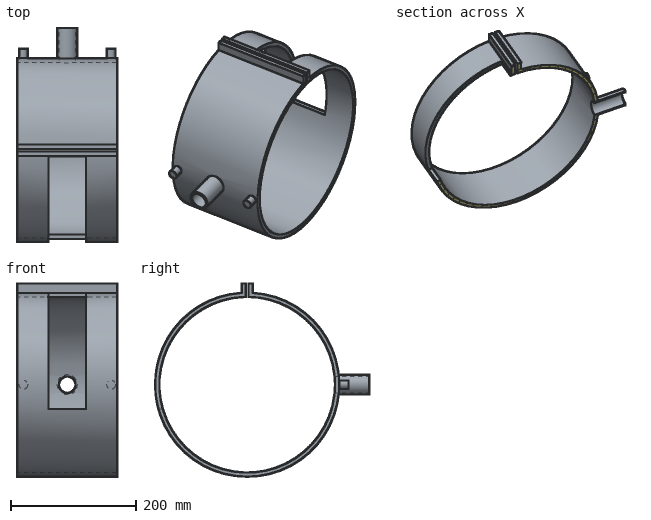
import cadquery as cq
import math

band_width = 160.0
inner_radius = 140.0
wall = 7.0
outer_radius = inner_radius + wall

split_gap = 4.0
flange_thickness = wall
flange_height = 15.0
flange_outer_y = split_gap / 2 + flange_thickness
flange_base_z = math.sqrt(outer_radius**2 - flange_outer_y**2)
flange_top_z = flange_base_z + flange_height

window_width = 60.0
window_bottom_z = -38.5
window_edge_y = -10.0

tube_outer_diameter = 32.0
tube_bore_diameter = 26.0
tube_length = 48.0
pin_diameter = 14.0
pin_length = 15.0
pin_spacing = 140.0


def cylinder_along_x(radius, length):
    return cq.Workplane("YZ", origin=(-length / 2, 0, 0)).circle(radius).extrude(length)


def cylinder_along_y(diameter, x, end_y):
    """Cylinder from the band axis out to end_y on the +Y side."""
    return cq.Workplane("XZ").center(x, 0).circle(diameter / 2).extrude(-end_y)


def split_band():
    """Ring with two upright flanges, before the inside is cleared."""
    flanges = cq.Workplane("XY").box(
        band_width, 2 * flange_outer_y, flange_top_z, centered=(True, True, False)
    )
    split = cq.Workplane("XY").box(
        band_width, split_gap, flange_top_z, centered=(True, True, False)
    )
    return cylinder_along_x(outer_radius, band_width).union(flanges).cut(split)


def window():
    """Block with a level bottom face and an upright face beside the -Y flange."""
    depth = outer_radius + window_edge_y
    height = outer_radius - window_bottom_z
    return (
        cq.Workplane("XY")
        .box(window_width, depth, height, centered=(True, False, False))
        .translate((0, -outer_radius, window_bottom_z))
    )


def tube_and_pins():
    fittings = cylinder_along_y(tube_outer_diameter, 0, outer_radius + tube_length)
    for x in (-pin_spacing / 2, pin_spacing / 2):
        fittings = fittings.union(cylinder_along_y(pin_diameter, x, outer_radius + pin_length))
    return fittings


tube_bore = cylinder_along_y(tube_bore_diameter, 0, outer_radius + tube_length)

result = (
    split_band()
    .cut(window())
    .union(tube_and_pins())
    .cut(cylinder_along_x(inner_radius, band_width))
    .cut(tube_bore)
)